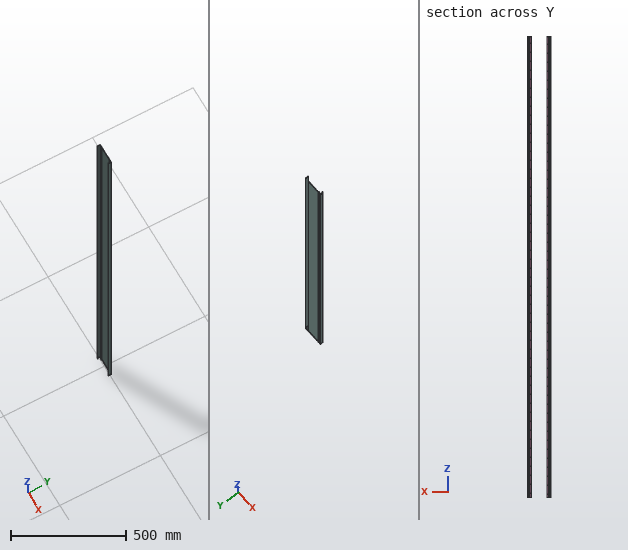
import cadquery as cq

length = 2000.0
width = 100.0
depth = 15.5

web_sheet = 2.0
wall_sheet = 2.0
lip_sheet = 2.0

rib_inner_edge = 32.0
rib_outer_edge = 42.0
rib_height = 2.0
bevel_run = rib_height

wall_flare = 0.2
flare_start = 9.5
lip_width = 5.0

half_width = width / 2
back = depth / 2
front = -depth / 2
bend = back - flare_start
upper_wall = half_width - wall_flare
web_inside = back - web_sheet
rib_top = web_inside - rib_height

right_half = [
    (upper_wall, back),
    (upper_wall, bend),
    (half_width, front),
    (half_width - lip_width, front),
    (half_width - lip_width, front + lip_sheet),
    (half_width - wall_sheet, front + lip_sheet),
    (upper_wall - wall_sheet, bend),
    (upper_wall - wall_sheet, web_inside),
    (rib_outer_edge, web_inside),
    (rib_outer_edge, rib_top),
    (rib_inner_edge + bevel_run, rib_top),
    (rib_inner_edge, web_inside),
]
left_half = [(-x, y) for x, y in reversed(right_half)]

result = (
    cq.Workplane("XY")
    .workplane(offset=-length / 2)
    .polyline(right_half + left_half)
    .close()
    .extrude(length)
)